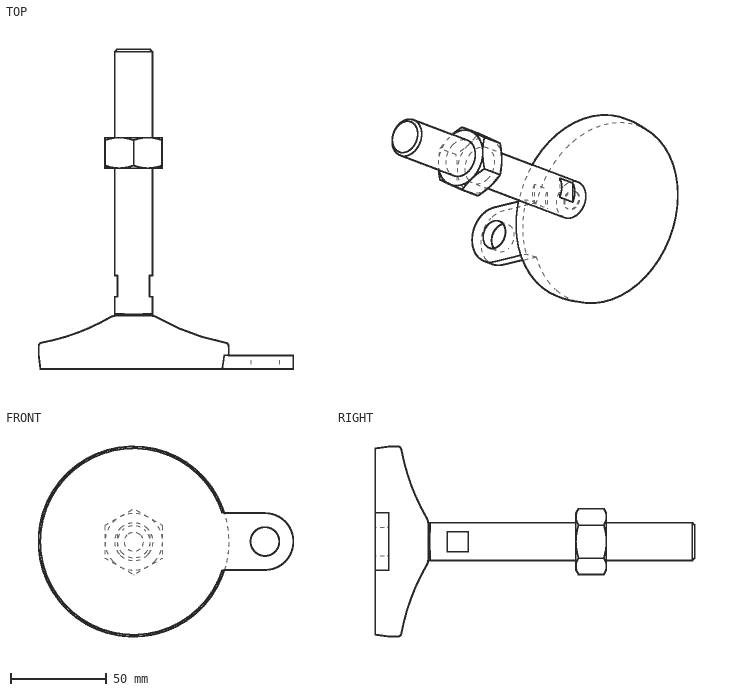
import cadquery as cq
import math


rim_radius = 50.0
draft_height = 7.5
draft_angle = 8.0
rim_straight_top = 11.9
rim_round_radius = 2.0
rim_slope_angle = 12.0
slope_mid_radius = 27.7
slope_mid_height = 19.8
crown_flat_radius = 9.3
crown_round_radius = 6.0
crown_slope_angle = 30.0
crown_height = 28.0

lug_thickness = 7.2
lug_width = 30.0
lug_reach = 84.0
lug_hole_diameter = 15.0

stud_diameter = 20.0
stud_bottom = 28.8
stud_top = 168.0
stud_tip_chamfer = 1.5
neck_diameter = 10.0

flats_width = 17.0
flats_bottom = 38.0
flats_height = 11.0

hexagon_sides = 6
nut_width = 30.0
nut_height = 16.0
nut_bottom = 105.5
nut_chamfer_angle = 30.0


def cylinder(diameter, bottom, height):
    """Cylinder on the stud axis."""
    base = cq.Workplane("XZ", origin=(0, bottom, 0))
    return base.circle(diameter / 2).extrude(-height)


def point_on_arc(center, radius, angle):
    """Point on an arc, at an angle in degrees from the horizontal."""
    turn = math.radians(angle)
    return (center[0] + radius * math.cos(turn), center[1] + radius * math.sin(turn))


def make_foot():
    """Round foot: drafted base, straight rim and a concave slope up to a rounded crown."""
    base_radius = rim_radius - draft_height * math.tan(math.radians(draft_angle))

    rim_center = (rim_radius - rim_round_radius, rim_straight_top)
    rim_sweep = 90 - rim_slope_angle
    rim_mid = point_on_arc(rim_center, rim_round_radius, rim_sweep / 2)
    slope_foot = point_on_arc(rim_center, rim_round_radius, rim_sweep)

    crown_center = (crown_flat_radius, crown_height - crown_round_radius)
    slope_head = point_on_arc(crown_center, crown_round_radius, 90 - crown_slope_angle)
    crown_mid = point_on_arc(crown_center, crown_round_radius, 90 - crown_slope_angle / 2)

    profile = (
        cq.Workplane("XY")
        .lineTo(base_radius, 0)
        .lineTo(rim_radius, draft_height)
        .lineTo(rim_radius, rim_straight_top)
        .threePointArc(rim_mid, slope_foot)
        .threePointArc((slope_mid_radius, slope_mid_height), slope_head)
        .threePointArc(crown_mid, (crown_flat_radius, crown_height))
        .lineTo(0, crown_height)
        .close()
    )
    return profile.revolve(360, (0, 0, 0), (0, 1, 0))


def make_lug():
    """Flat lug with a rounded end and a through hole, pointing along +X."""
    end_radius = lug_width / 2
    hole_x = lug_reach - end_radius
    return (
        cq.Workplane("XZ")
        .moveTo(0, -end_radius)
        .lineTo(hole_x, -end_radius)
        .threePointArc((lug_reach, 0), (hole_x, end_radius))
        .lineTo(0, end_radius)
        .close()
        .moveTo(hole_x, 0)
        .circle(lug_hole_diameter / 2)
        .extrude(-lug_thickness)
    )


def make_stud():
    """Stud with a chamfered tip, two wrench flats and a short neck at its foot."""
    stud = cylinder(stud_diameter, stud_bottom, stud_top - stud_bottom)
    stud = stud.faces(">Y").edges().chamfer(stud_tip_chamfer)
    flat_depth = (stud_diameter - flats_width) / 2
    for side in (-1, 1):
        cutter = cq.Workplane("XY").box(flat_depth, flats_height, stud_diameter)
        flat_x = side * (flats_width + flat_depth) / 2
        stud = stud.cut(cutter.translate((flat_x, flats_bottom + flats_height / 2, 0)))
    neck = cylinder(neck_diameter, crown_height, stud_bottom - crown_height)
    return stud.union(neck)


def make_nut():
    """Hexagon nut with flats facing +X and -X and conically chamfered corners."""
    hexagon_half_angle = 180 / hexagon_sides
    corner_diameter = nut_width / math.cos(math.radians(hexagon_half_angle))
    hexagon = (
        cq.Workplane("XZ", origin=(0, nut_bottom, 0))
        .transformed(rotate=(0, 0, hexagon_half_angle))
        .polygon(hexagon_sides, corner_diameter)
        .extrude(-nut_height)
    )
    chamfer_width = (corner_diameter - nut_width) / 2
    chamfer_height = chamfer_width * math.tan(math.radians(nut_chamfer_angle))
    envelope = cylinder(corner_diameter, nut_bottom, nut_height)
    envelope = envelope.faces("<Y or >Y").edges().chamfer(chamfer_height, chamfer_width)
    return hexagon.intersect(envelope)


result = make_foot().union(make_lug()).union(make_stud()).union(make_nut())